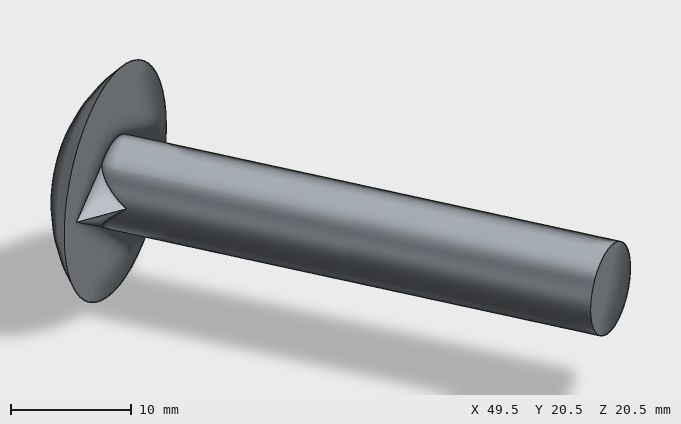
import cadquery as cq
import math

head_diameter = 20.53
head_height = 4.48
bolt_diameter = 8.0
shank_length = 23.0
thread_length = 22.0

nib_reach = 7.8
nib_length = 2.8
nib_wedge_angle = 60.0

head_radius = head_diameter / 2
bolt_radius = bolt_diameter / 2


def make_head():
    """Spherical cap revolved about the X axis."""
    dome_radius = (head_radius**2 + head_height**2) / (2 * head_height)
    dome_center_x = dome_radius - head_height
    mid_angle = math.asin(head_radius / dome_radius) / 2
    arc_middle = (
        dome_center_x - dome_radius * math.cos(mid_angle),
        dome_radius * math.sin(mid_angle),
    )
    profile = (
        cq.Workplane("XY")
        .moveTo(0, 0)
        .lineTo(-head_height, 0)
        .threePointArc(arc_middle, (0, head_radius))
        .close()
    )
    return profile.revolve(360, (0, 0, 0), (1, 0, 0))


def make_rod(start_x, length):
    """Cylinder of the bolt diameter along X."""
    return cq.Workplane("YZ", origin=(start_x, 0, 0)).circle(bolt_radius).extrude(length)


def make_nib():
    """Pyramid under the head on the -Y side, with its back buried in the shank."""
    back_y = -bolt_radius / 2
    depth = nib_reach + back_y
    half_width = depth * math.tan(math.radians(nib_wedge_angle / 2))
    ridge_slope = nib_length / (nib_reach - bolt_radius)

    outer = cq.Vector(0, -nib_reach, 0)
    upper = cq.Vector(0, back_y, half_width)
    lower = cq.Vector(0, back_y, -half_width)
    peak = cq.Vector(depth * ridge_slope, back_y, 0)

    triangles = [
        (outer, upper, lower),
        (outer, upper, peak),
        (outer, lower, peak),
        (upper, lower, peak),
    ]
    faces = [cq.Face.makeFromWires(cq.Wire.makePolygon(corners, close=True)) for corners in triangles]
    return cq.Workplane(cq.Solid.makeSolid(cq.Shell.makeShell(faces)))


shank = make_rod(0, shank_length)
threaded_end = make_rod(shank_length, thread_length)
result = make_head().union(shank).union(make_nib()).union(threaded_end, clean=False)